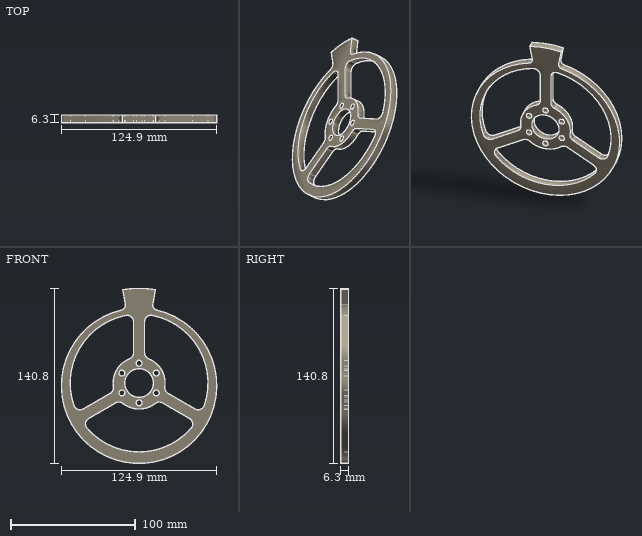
import cadquery as cq
import math

thickness = 6.3
total_height = 140.8

rim_diameter = 124.9
rim_radius = rim_diameter / 2
window_radius = 55.2
tab_tip_radius = 76.2
rim_center_z = tab_tip_radius - total_height + rim_radius

tab_half_angle = math.radians(10)
tab_fillet = 4.0

hub_radius = 21.0
bore_radius = 11.4
bolt_circle_radius = 15.9
bolt_hole_radius = 2.3
bolt_hole_count = 6
spoke_count = 3
spoke_width = 9.0
window_fillet = 5.0


def back_plane():
    """Sketch plane on the +Y face; extruding runs toward -Y."""
    return cq.Workplane("XZ", origin=(0, thickness / 2, 0))


def disc(radius, center_z=0):
    """Full-thickness disc, centred on Y = 0."""
    return back_plane().center(0, center_z).circle(radius).extrude(thickness)


def tab_sector():
    """Sector from the hub axis to the tab tip, with radial sides."""
    tip_x = tab_tip_radius * math.sin(tab_half_angle)
    tip_z = tab_tip_radius * math.cos(tab_half_angle)
    return (
        back_plane()
        .lineTo(-tip_x, tip_z)
        .threePointArc((0, tab_tip_radius), (tip_x, tip_z))
        .close()
        .extrude(thickness)
    )


def outer_body():
    """Solid rim disc with the tab, blended where the tab meets the rim."""
    body = disc(rim_radius, rim_center_z).union(tab_sector())
    tip_corner_z = tab_tip_radius * math.cos(tab_half_angle)
    root_z = (rim_radius + rim_center_z + tip_corner_z) / 2
    root_box = cq.selectors.BoxSelector(
        (-rim_radius / 2, -thickness, 0),
        (rim_radius / 2, thickness, root_z),
    )
    return body.edges("|Y").edges(root_box).fillet(tab_fillet)


def windows():
    """Openings between the hub, the spokes and the rim, with all corners rounded."""
    openings = disc(window_radius).cut(disc(hub_radius))
    spoke = cq.Workplane("XY").box(spoke_width, thickness, tab_tip_radius, centered=(True, True, False))
    for index in range(spoke_count):
        angle = index * 360 / spoke_count
        openings = openings.cut(spoke.rotate((0, 0, 0), (0, 1, 0), angle))
    return openings.edges("|Y").fillet(window_fillet)


def hub_holes():
    """Central bore and the ring of bolt holes around it, the first one at the top."""
    bolt_holes = (
        back_plane()
        .polarArray(bolt_circle_radius, 90, 360, bolt_hole_count)
        .circle(bolt_hole_radius)
        .extrude(thickness)
    )
    return disc(bore_radius).union(bolt_holes)


result = outer_body().cut(windows()).cut(hub_holes())